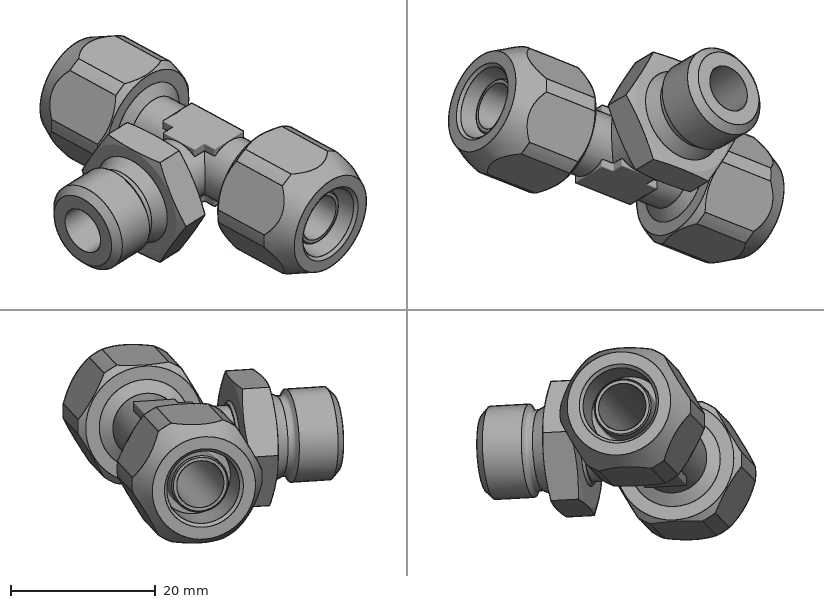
import cadquery as cq
import math

run_half_length = 24.0
pipe_radius = 4.75
bore_radius = 3.35

across_flats = 17.0
flat_radius = across_flats / 2
corner_radius = flat_radius / math.cos(math.radians(30))

nut_length = 13.55
nut_corner_radius = 9.25
nut_face_radius = 7.35
nut_cone_length = 3.95
nut_back_chamfer = 0.9
tube_hole_radius = 5.2
tube_hole_chamfer = 0.45
tube_hole_depth = 5.75

nose_depth = 2.05
nose_radius = 4.05
nose_tip_chamfer = 0.2
nose_root_fillet = 0.35

shoulder_radius = 6.45
shoulder_length = 1.05

block_half_width = 4.95
block_arm_half_width = 3.0
block_edge_fillet = 0.15

hex_start = 9.8
hex_end = 14.45
hex_face_radius = 8.4
hex_chamfer_angle = 15
collar_start_radius = 5.0
collar_end_radius = 5.4
collar_length = 0.4
neck_start_radius = 6.6
neck_end_radius = 5.6
neck_end = 16.5
thread_start = 17.9
lead_in_angle = 30
undercut_fillet = 0.5
thread_radius = 6.5
thread_end_chamfer = 1.05
branch_length = 24.5


def turned_about_x(profile):
    """Revolve a closed (x, radius) profile about the X axis."""
    return cq.Workplane("XY").polyline(profile).close().revolve(360, (0, 0), (1, 0))


def turned_about_branch(profile):
    """Revolve a closed (radius, distance along -Y) profile about the Y axis."""
    points = [(radius, -distance) for radius, distance in profile]
    return cq.Workplane("XY").polyline(points).close().revolve(360, (0, 0), (0, 1))


def make_nut():
    """Compression nut on the -X end, with the body's nose inside its tube hole."""
    face = -run_half_length
    back = face + nut_length
    envelope = turned_about_x([
        (face, 0),
        (face, nut_face_radius),
        (face + nut_cone_length, nut_corner_radius),
        (back - nut_back_chamfer, nut_corner_radius),
        (back, nut_corner_radius - nut_back_chamfer),
        (back, 0),
    ])
    hexagon = (
        cq.Workplane("YZ", origin=(face, 0, 0))
        .polygon(6, 2 * corner_radius)
        .extrude(nut_length)
    )
    tube_gap = turned_about_x([
        (face, 0),
        (face, tube_hole_radius + tube_hole_chamfer),
        (face + tube_hole_chamfer, tube_hole_radius),
        (face + tube_hole_depth, tube_hole_radius),
        (face + tube_hole_depth, nose_radius),
        (face + nose_depth + nose_tip_chamfer, nose_radius),
        (face + nose_depth, nose_radius - nose_tip_chamfer),
        (face + nose_depth, 0),
    ])
    root_edge = tube_gap.faces(">X").edges(cq.selectors.RadiusNthSelector(0))
    tube_gap = root_edge.fillet(nose_root_fillet)
    shoulder = turned_about_x([
        (back, 0),
        (back, shoulder_radius),
        (back + shoulder_length, pipe_radius),
        (back + shoulder_length, 0),
    ])
    return hexagon.intersect(envelope).cut(tube_gap).union(shoulder)


def make_block():
    """T-shaped forged block at the crossing, with slightly rounded edges."""
    block_size = 2 * block_half_width
    arm_width = 2 * block_arm_half_width
    bar = cq.Workplane("XY").box(block_size, arm_width, block_size)
    stem = (
        cq.Workplane("XY", origin=(0, -block_half_width / 2, 0))
        .box(arm_width, block_half_width, block_size)
    )
    return bar.union(stem).edges().fillet(block_edge_fillet)


def make_branch_hex():
    """Hexagon on the branch with shallow chamfers on both ends."""
    chamfer_length = (corner_radius - hex_face_radius) * math.tan(math.radians(hex_chamfer_angle))
    envelope = turned_about_branch([
        (0, hex_start),
        (hex_face_radius, hex_start),
        (corner_radius, hex_start + chamfer_length),
        (corner_radius, hex_end - chamfer_length),
        (hex_face_radius, hex_end),
        (0, hex_end),
    ])
    hexagon = (
        cq.Workplane("XZ", origin=(0, -hex_start, 0))
        .polygon(6, 2 * corner_radius)
        .extrude(hex_end - hex_start)
    )
    return hexagon.intersect(envelope)


def make_branch():
    """Branch pipe, collar, hexagon, tapered neck, undercut and threaded end."""
    lead_in_length = (thread_radius - neck_end_radius) * math.tan(math.radians(lead_in_angle))
    undercut_end = thread_start - lead_in_length
    stem = turned_about_branch([
        (0, 0),
        (pipe_radius, 0),
        (pipe_radius, hex_start - collar_length),
        (collar_start_radius, hex_start - collar_length),
        (collar_end_radius, hex_start),
        (collar_end_radius, hex_end),
        (neck_start_radius, hex_end),
        (neck_end_radius, neck_end),
        (neck_end_radius, undercut_end),
        (thread_radius, thread_start),
        (thread_radius, branch_length - thread_end_chamfer),
        (thread_radius - thread_end_chamfer, branch_length),
        (0, branch_length),
    ])
    undercut_corner = stem.edges(cq.selectors.NearestToPointSelector((0, -undercut_end, 0)))
    stem = undercut_corner.fillet(undercut_fillet)
    return stem.union(make_branch_hex())


nut = make_nut()
pipe_half_length = run_half_length - nut_length
pipe = (
    cq.Workplane("YZ", origin=(-pipe_half_length, 0, 0))
    .circle(pipe_radius)
    .extrude(2 * pipe_half_length)
)
body = pipe.union(make_branch()).union(make_block())
body = body.union(nut).union(nut.mirror("YZ"))

run_bore = (
    cq.Workplane("YZ", origin=(-run_half_length, 0, 0))
    .circle(bore_radius)
    .extrude(2 * run_half_length)
)
branch_bore = cq.Workplane("XZ").circle(bore_radius).extrude(branch_length)

result = body.cut(run_bore).cut(branch_bore)